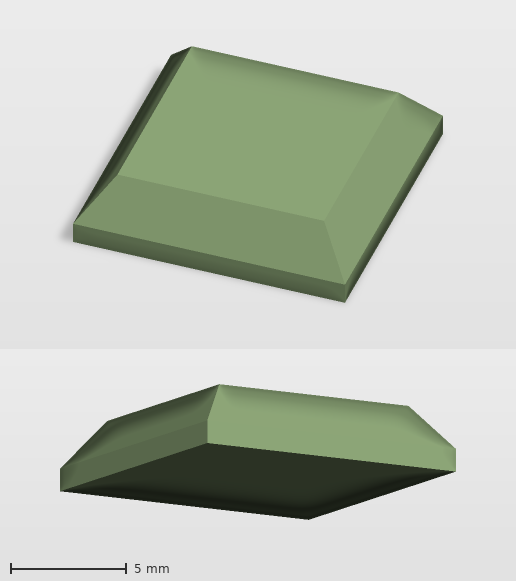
import cadquery as cq

side = 12.5
height = 3.0
base_height = 1.0
bevel_inset = 1.5

bevel_height = height - base_height
top_side = side - 2 * bevel_inset

base = cq.Workplane("XY").rect(side, side).extrude(base_height)

cap = (
    cq.Workplane("XY", origin=(0, 0, base_height))
    .rect(side, side)
    .workplane(offset=bevel_height)
    .rect(top_side, top_side)
    .loft(ruled=True)
)

result = base.union(cap)